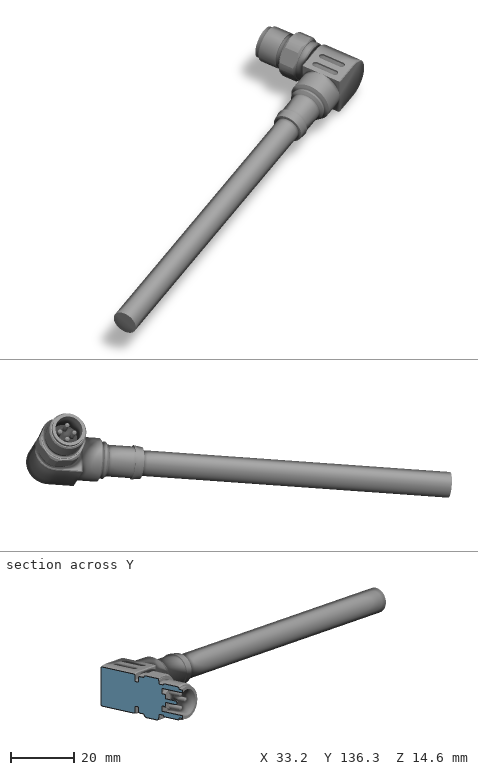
import cadquery as cq
import math


body_half = 7.0
body_front_y = -8.5
body_edge_chamfer = 0.3

slot_length = 9.3
slot_width = 2.0
slot_depth = 0.7
slot_first_y = -1.6
slot_pitch = 4.1

tip_x = -26.2
tip_radius = 5.3
tip_length = 1.2
thread_radius = 6.0
thread_chamfer = 0.4
thread_end = 7.8
relief_radius = 5.6
nut_front_collar_start = 9.4
nut_start = 9.7
nut_end = 15.7
nut_radius = 7.5
nut_front_chamfer = 0.5
nut_back_chamfer = 0.7
nut_collar_radius = 6.5
nut_collar_end = 18.0
nut_collar_chamfer = 0.4
neck_radius = 4.8

flat_count = 6
flat_half_angle = 20.6
flat_distance = nut_radius * math.cos(math.radians(flat_half_angle))
flat_tilt = 22.3

bore_radius = 4.4
bore_depth = 8.2
carrier_radius = 3.1
carrier_height = 1.4
carrier_flat = 2.9
carrier_flat_width = 5.5
pin_count = 4
pin_circle_radius = 2.3
pin_radius = 0.7
pin_point_length = 0.4
pin_recess = 2.0

collar_end_y = -15.0
collar_foot_y = -15.8
collar_foot_radius = 5.7
ring_radius = 6.0
ring_y = -16.8
sleeve_start_y = -17.7
sleeve_radius = 5.0
band_start_y = -26.0
band_radius = 5.5
band_end_y = -28.9
cable_radius = 4.1
overall_length = 136.3
cable_end_y = nut_radius - overall_length


def plug_cylinder(radius, start, end):
    """Cylinder on the connector axis between two distances from the tip."""
    return cq.Workplane("YZ", origin=(tip_x + start, 0, 0)).circle(radius).extrude(end - start)


def make_body():
    block = (
        cq.Workplane("YZ", origin=(-body_half, 0, 0))
        .moveTo(body_front_y, -body_half)
        .lineTo(0, -body_half)
        .threePointArc((body_half, 0), (0, body_half))
        .lineTo(body_front_y, body_half)
        .close()
        .extrude(2 * body_half)
        .faces("<X or >X")
        .chamfer(body_edge_chamfer)
    )
    slot_centers = [(0, slot_first_y), (0, slot_first_y - slot_pitch)]
    slots = (
        cq.Workplane("XY", origin=(0, 0, body_half - slot_depth))
        .pushPoints(slot_centers)
        .slot2D(slot_length, slot_width)
        .extrude(2 * slot_depth)
    )
    return block.cut(slots)


def make_nut():
    nut = plug_cylinder(nut_radius, nut_start, nut_end)
    nut = nut.faces("<X").chamfer(nut_front_chamfer)
    nut = nut.faces(">X").chamfer(nut_back_chamfer)
    hexagon = (
        cq.Workplane("YZ", origin=(tip_x + nut_start, 0, 0))
        .polygon(flat_count, 2 * flat_distance, circumscribed=True)
        .extrude(nut_end - nut_start)
        .rotate((0, 0, 0), (1, 0, 0), flat_tilt)
    )
    collar = (
        plug_cylinder(nut_collar_radius, nut_front_collar_start, nut_collar_end)
        .faces(">X")
        .chamfer(nut_collar_chamfer)
    )
    return nut.intersect(hexagon).union(collar)


def make_plug():
    thread = plug_cylinder(thread_radius, tip_length, thread_end).faces("<X").chamfer(thread_chamfer)
    plug = (
        plug_cylinder(tip_radius, 0, nut_front_collar_start)
        .union(thread)
        .union(plug_cylinder(relief_radius, thread_end, nut_front_collar_start))
        .union(make_nut())
        .union(plug_cylinder(neck_radius, nut_collar_end, -tip_x))
    )
    return plug.cut(plug_cylinder(bore_radius, 0, bore_depth))


def make_contacts():
    carrier_start = bore_depth - carrier_height
    round_side = cq.Workplane("XY").box(-2 * tip_x, 2 * carrier_radius, 2 * carrier_radius)
    round_side = round_side.translate((0, carrier_radius, 0))
    square_side = (
        cq.Workplane("YZ", origin=(tip_x + carrier_start, 0, 0))
        .center(-carrier_flat / 2, 0)
        .rect(carrier_flat, carrier_flat_width)
        .extrude(carrier_height)
    )
    contacts = plug_cylinder(carrier_radius, carrier_start, bore_depth)
    contacts = contacts.intersect(round_side).union(square_side)
    pin_profile = [
        (tip_x + pin_recess, 0),
        (tip_x + pin_recess + pin_point_length, pin_radius),
        (tip_x + bore_depth, pin_radius),
        (tip_x + bore_depth, 0),
    ]
    pin = cq.Workplane("XY").polyline(pin_profile).close().revolve(360, (0, 0, 0), (1, 0, 0))
    for index in range(pin_count):
        angle = 2 * math.pi * index / pin_count
        offset = (0, pin_circle_radius * math.cos(angle), pin_circle_radius * math.sin(angle))
        contacts = contacts.union(pin.translate(offset))
    return contacts


def make_cable_side():
    return (
        cq.Workplane("XY")
        .moveTo(0, 0)
        .lineTo(0, cable_end_y)
        .lineTo(cable_radius, cable_end_y)
        .lineTo(cable_radius, band_end_y)
        .lineTo(sleeve_radius, band_end_y)
        .lineTo(band_radius, band_start_y)
        .lineTo(sleeve_radius, band_start_y)
        .lineTo(sleeve_radius, sleeve_start_y)
        .lineTo(ring_radius, ring_y)
        .lineTo(collar_foot_radius, collar_foot_y)
        .lineTo(body_half, collar_end_y)
        .lineTo(body_half, body_front_y)
        .lineTo(cable_radius, body_front_y)
        .lineTo(cable_radius, 0)
        .close()
        .revolve(360, (0, 0, 0), (0, 1, 0))
    )


result = make_body().union(make_cable_side()).union(make_plug()).union(make_contacts())